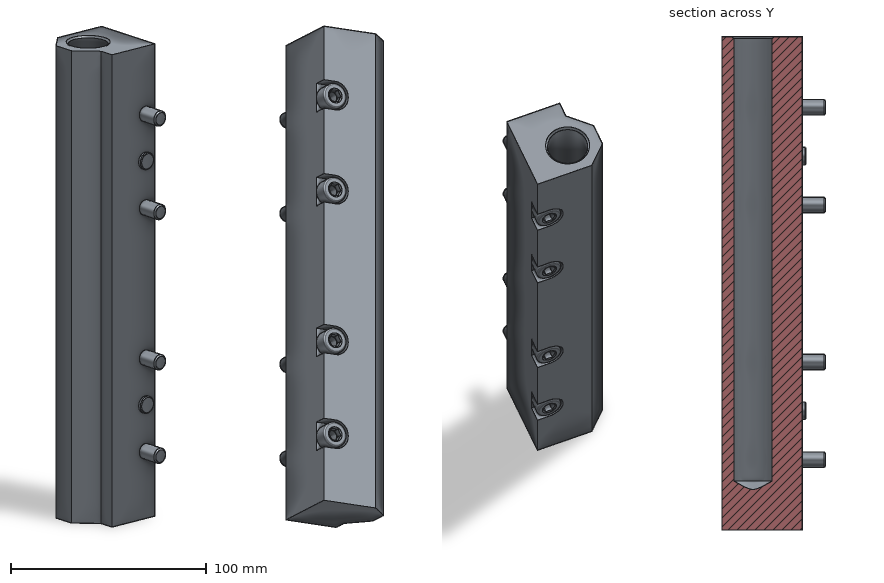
import cadquery as cq
import math

length = 252.0
overall_width = 53.0
block_width = 41.0
block_depth = 40.0
corner_chamfer = 10.0
nose_end_x = 22.0
step_y = -29.2
slope_run = block_depth + step_y

bore_x = 16.0
bore_y = -23.2
bore_diameter = 20.5
bore_mouth_diameter = 22.5
bore_depth = 226.8
drill_point_angle = 118.0

inner_screw_height = 40.0
outer_screw_height = 90.0
screw_heights = (-outer_screw_height, -inner_screw_height, inner_screw_height, outer_screw_height)
shank_diameter = 8.0
tip_chamfer = 0.8
head_diameter = 13.0
fastener_y = -head_diameter / 2
head_height = 8.0
head_edge_radius = 0.8
pocket_width = 15.0
pocket_depth = head_height

socket_flats = 6.0
socket_sides = 6
socket_corners = socket_flats / math.cos(math.pi / socket_sides)
socket_mouth_diameter = 7.8
socket_mouth_angle = 120.0
socket_depth = 4.0

pin_height = (inner_screw_height + outer_screw_height) / 2
pin_heights = (-pin_height, pin_height)
pin_diameter = 9.0
pin_projection = 1.8
pin_insertion = 8.0
pin_chamfer = 0.5


def cylinder_along_x(diameter, start_x, end_x, z):
    """Cylinder on the fastener line at height z."""
    return (
        cq.Workplane("YZ", origin=(start_x, fastener_y, z))
        .circle(diameter / 2)
        .extrude(end_x - start_x)
    )


def make_bore():
    """Drilled bore with a chamfered mouth and a conical bottom, as a cutting body."""
    radius = bore_diameter / 2
    mouth_radius = bore_mouth_diameter / 2
    mouth_chamfer = mouth_radius - radius
    point_height = radius / math.tan(math.radians(drill_point_angle / 2))
    return (
        cq.Workplane("XZ")
        .moveTo(0, 0)
        .lineTo(mouth_radius, 0)
        .lineTo(radius, -mouth_chamfer)
        .lineTo(radius, -bore_depth)
        .lineTo(0, -bore_depth - point_height)
        .close()
        .revolve(360, (0, 0, 0), (0, 1, 0))
        .translate((bore_x, bore_y, length / 2))
    )


def make_head_pocket(z):
    """Round-ended pocket for a screw head, open to the -X and +Y faces."""
    round_end = cylinder_along_x(pocket_width, 0, pocket_depth, z)
    opening = cq.Workplane("XY").box(
        pocket_depth, -fastener_y, pocket_width, centered=(False, False, True)
    )
    return round_end.union(opening.translate((0, fastener_y, z)))


def make_block():
    block = (
        cq.Workplane("XY", origin=(0, 0, -length / 2))
        .moveTo(0, 0)
        .lineTo(0, corner_chamfer - block_depth)
        .lineTo(corner_chamfer, -block_depth)
        .lineTo(nose_end_x, -block_depth)
        .lineTo(nose_end_x + slope_run, step_y)
        .lineTo(block_width, step_y)
        .lineTo(block_width, 0)
        .close()
        .extrude(length)
    )
    block = block.cut(make_bore())
    for z in screw_heights:
        block = block.cut(make_head_pocket(z))
        block = block.cut(cylinder_along_x(shank_diameter, 0, block_width, z))
    for z in pin_heights:
        block = block.cut(cylinder_along_x(pin_diameter, block_width - pin_insertion, block_width, z))
    return block


def make_socket(z):
    """Hexagonal socket with a countersunk mouth and a conical bottom, as a cutting body."""
    mouth_radius = socket_mouth_diameter / 2
    core_radius = socket_flats / 2
    point_height = core_radius / math.tan(math.radians(drill_point_angle / 2))
    hexagon = cq.Workplane("YZ").polygon(socket_sides, socket_corners).extrude(socket_depth)
    mouth_cone_height = mouth_radius / math.tan(math.radians(socket_mouth_angle / 2))
    countersink = cq.Solid.makeCone(
        mouth_radius, 0, mouth_cone_height, cq.Vector(0, 0, 0), cq.Vector(1, 0, 0)
    )
    drill_point = cq.Solid.makeCone(
        core_radius, 0, point_height, cq.Vector(socket_depth, 0, 0), cq.Vector(1, 0, 0)
    )
    socket = hexagon.union(cq.Workplane(countersink)).union(cq.Workplane(drill_point))
    return socket.translate((0, fastener_y, z))


def make_screw(z):
    head = cylinder_along_x(head_diameter, 0, head_height, z).faces("<X").edges().fillet(head_edge_radius)
    shank = cylinder_along_x(shank_diameter, head_height, overall_width, z).faces(">X").chamfer(tip_chamfer)
    return head.union(shank).cut(make_socket(z))


def make_pin(z):
    pin = cylinder_along_x(pin_diameter, block_width - pin_insertion, block_width + pin_projection, z)
    return pin.faces(">X").chamfer(pin_chamfer)


block = make_block()
screws = [make_screw(z).val() for z in screw_heights]
pins = [make_pin(z).val() for z in pin_heights]

result = cq.Compound.makeCompound([block.val(), *screws, *pins])